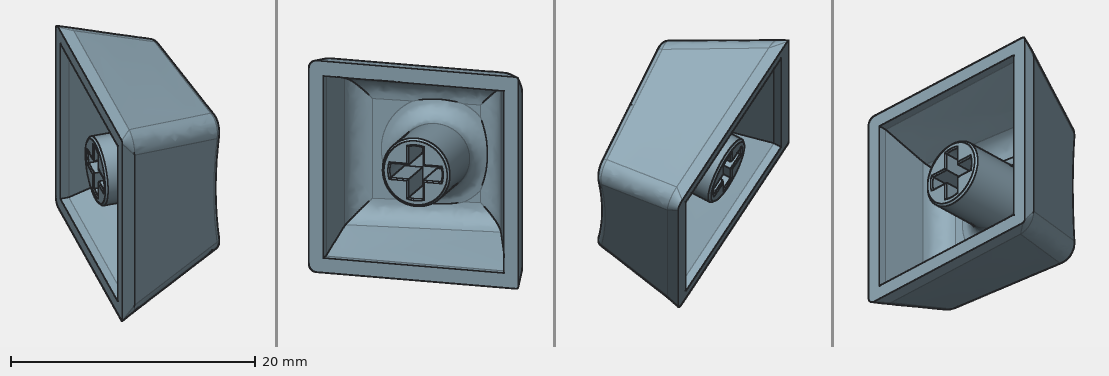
import cadquery as cq
import math

half_width = 9.0
skirt_height = 1.05
rim_radius_left = 0.67
rim_radius_right = 0.22
corner_radius = 1.53

top_angle = 6.65
top_height = 8.62
dish_radius = 38.16
top_left = -8.6
top_right = 5.3
top_half_depth = 6.48
top_allowance = 0.72
top_edge_radius = 0.58

opening_half = 7.74
straight_depth = 0.72
roof_thickness = 1.26
roof_left = -7.35
roof_right = 4.9
roof_half_depth = 5.72
roof_radius = 2.07

stem_diameter = 5.8
stem_recess = 0.54
stem_chamfer = 0.18
stem_root_radius = 1.8
stem_slab_thickness = 0.9
cross_span = 4.5
cross_arm_width = 1.22
cross_depth = 3.96
cross_chamfer = 0.13

top_slope = math.tan(math.radians(top_angle))
roof_height = top_height - roof_thickness / math.cos(math.radians(top_angle))


def section(left, right, half_depth, height, slope=0.0, left_radius=0.0, right_radius=0.0):
    """Four-sided wire at Y = height + slope * X, with optional round corners."""

    def point(x, z):
        return cq.Vector(x, height + slope * x, z)

    if not left_radius:
        corners = [(left, -half_depth), (right, -half_depth), (right, half_depth), (left, half_depth)]
        return cq.Wire.makePolygon([point(x, z) for x, z in corners], close=True)

    corners = [
        (left, -half_depth, 1, 1, left_radius),
        (right, -half_depth, -1, 1, right_radius),
        (right, half_depth, -1, -1, right_radius),
        (left, half_depth, 1, -1, left_radius),
    ]
    arcs = []
    for x, z, sx, sz, radius in corners:
        bulge = radius * (1 - math.sqrt(0.5))
        along_x = point(x + sx * radius, z)
        along_z = point(x, z + sz * radius)
        middle = point(x + sx * bulge, z + sz * bulge)
        start, end = (along_z, along_x) if sx == sz else (along_x, along_z)
        arcs.append((start, middle, end))
    edges = []
    for i, (start, middle, end) in enumerate(arcs):
        edges.append(cq.Edge.makeThreePointArc(start, middle, end))
        edges.append(cq.Edge.makeLine(end, arcs[(i + 1) % len(arcs)][0]))
    return cq.Wire.assembleEdges(edges)


def ruled(*wires):
    return cq.Workplane(cq.Solid.makeLoft(list(wires), True))


def cylinder(diameter, start, end):
    """Cylinder about the Y axis."""
    length = end - start
    return cq.Workplane(cq.Solid.makeCylinder(
        diameter / 2, length, cq.Vector(0, start, 0), cq.Vector(0, 1, 0)))


def make_shell():
    rim = section(-half_width, half_width, half_width, 0,
                  left_radius=rim_radius_left, right_radius=rim_radius_right)
    shoulder = section(-half_width, half_width, half_width, skirt_height,
                       left_radius=corner_radius, right_radius=corner_radius)
    top = section(top_left, top_right, top_half_depth, top_height + top_allowance, top_slope,
                  corner_radius, corner_radius)
    body = ruled(rim, shoulder).union(ruled(shoulder, top))

    dish_length = 4 * half_width
    along_top = cq.Vector(1, top_slope, 0).normalized()
    across_top = cq.Vector(-along_top.y, along_top.x, 0)
    dish_start = cq.Vector(0, top_height, 0) + across_top * dish_radius - along_top * dish_length / 2
    dish = cq.Solid.makeCylinder(dish_radius, dish_length, dish_start, along_top)
    body = body.cut(cq.Workplane(dish))
    dished_face = body.faces(cq.selectors.BoxSelector(
        (-top_half_depth, roof_height, -0.18), (top_half_depth, 2 * half_width, 0.18)))
    return dished_face.edges().fillet(top_edge_radius)


def make_cavity():
    mouth = section(-opening_half, opening_half, opening_half, 0)
    straight_end = section(-opening_half, opening_half, opening_half, straight_depth)
    roof = section(roof_left, roof_right, roof_half_depth, roof_height, top_slope)
    upper = ruled(straight_end, roof)
    upper = upper.faces(">Y").edges().fillet(roof_radius)
    return ruled(mouth, straight_end).union(upper)


def make_stem():
    """Stem flaring into a sloping slab that lies within the roof."""
    slab = ruled(
        section(roof_left, roof_right, roof_half_depth, roof_height, top_slope),
        section(roof_left, roof_right, roof_half_depth, roof_height + stem_slab_thickness, top_slope))
    post = cylinder(stem_diameter, stem_recess, roof_height + stem_slab_thickness / 2)
    post = post.faces("<Y").chamfer(stem_chamfer)
    stem = slab.union(post)
    return stem.edges("%ELLIPSE").fillet(stem_root_radius)


def make_cross():
    """Cross with rounded arm ends, rising from the stem's end face."""
    arm = cq.Workplane().box(cross_span, cross_depth, cross_arm_width)
    cross = arm.union(arm.rotate((0, 0, 0), (0, 1, 0), 90))
    cross = cross.translate((0, stem_recess + cross_depth / 2, 0))
    return cross.intersect(cylinder(cross_span, stem_recess, stem_recess + cross_depth))


def cut_socket(stem):
    socketed = stem.cut(make_cross())
    mouth = socketed.faces("<Y").val().innerWires()[0]
    return socketed.newObject(mouth.Edges()).chamfer(cross_chamfer)


result = make_shell().cut(make_cavity()).union(cut_socket(make_stem()))